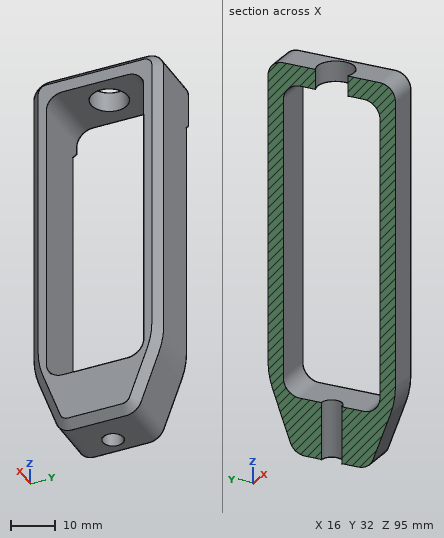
import cadquery as cq
import math

depth = 16.0
width = 32.0
height = 95.0

top_corner_radius = 4.0
taper_angle = 20.0
taper_start_height = 18.0
shoulder_radius = 20.0
base_corner_radius = 4.0

front_chamfer = 1.0
back_chamfer = 2.0

wall = 4.0
top_bar = 5.0
base_bar = 14.0
window_corner_radius = 4.0

lip_height = 11.0
setback = 2.0

top_hole_diameter = 9.0
top_hole_x = 8.5
base_hole_diameter = 5.0
base_hole_x = 6.5


def make_body():
    """Solid block with the tapered outline, rounded corners and chamfered faces."""
    half_width = width / 2
    half_base = half_width - taper_start_height * math.tan(math.radians(taper_angle))
    body = (
        cq.Workplane("YZ")
        .moveTo(-half_base, 0)
        .lineTo(half_base, 0)
        .lineTo(half_width, taper_start_height)
        .lineTo(half_width, height)
        .lineTo(-half_width, height)
        .lineTo(-half_width, taper_start_height)
        .close()
        .extrude(depth)
    )
    shoulders = body.edges("|X and (not >Z) and (not <Z)")
    body = shoulders.fillet(shoulder_radius)
    body = body.edges("|X").edges(">Z").fillet(top_corner_radius)
    body = body.edges("|X").edges("<Z").fillet(base_corner_radius)
    body = body.faces("<X").edges().chamfer(front_chamfer)
    return body.faces(">X").edges().chamfer(back_chamfer)


def make_window():
    """Rounded rectangular opening along X."""
    window_height = height - top_bar - base_bar
    return (
        cq.Workplane("YZ")
        .center(0, base_bar + window_height / 2)
        .rect(width - 2 * wall, window_height)
        .extrude(depth)
        .edges("|X")
        .fillet(window_corner_radius)
    )


def make_setback():
    """Material removed from the -X face below the lip."""
    lip_bottom = height - lip_height
    return (
        cq.Workplane("XZ")
        .moveTo(0, 0)
        .lineTo(setback, 0)
        .lineTo(setback, lip_bottom - setback)
        .lineTo(0, lip_bottom)
        .close()
        .extrude(width / 2, both=True)
    )


def make_hole(diameter, x, bottom, length):
    """Vertical round hole on the middle plane of the width."""
    return cq.Workplane("XY", origin=(x, 0, bottom)).circle(diameter / 2).extrude(length)


result = (
    make_body()
    .cut(make_window())
    .cut(make_setback())
    .cut(make_hole(top_hole_diameter, top_hole_x, height - top_bar, top_bar))
    .cut(make_hole(base_hole_diameter, base_hole_x, 0, base_bar))
)